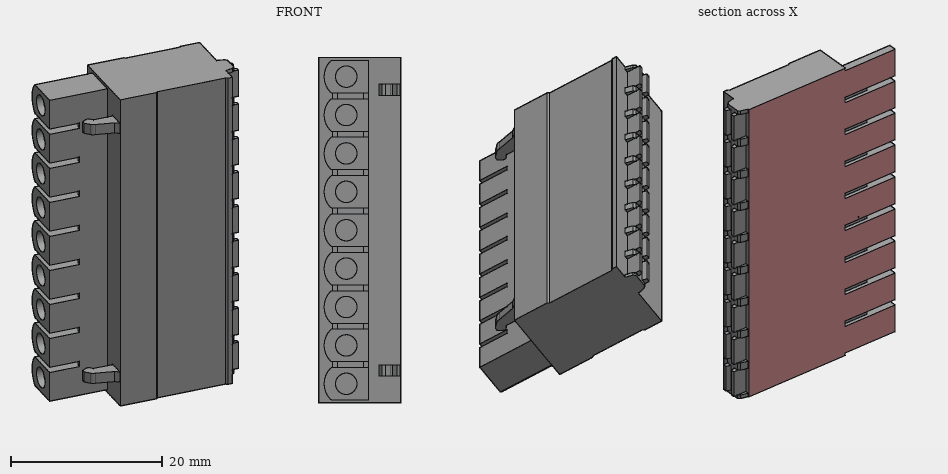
import cadquery as cq
import math


width = 10.9
total_depth = 26.5
depth = 16.2
height = 45.7
relief = 0.2
step_run = 0.27
relief_start = 5.2
left_relief_end = 13.45
right_relief_end = 15.55

positions = 9
pitch = height / positions
centers = [(i + 0.5) * pitch for i in range(positions)]

rail_center = 7.2
rail_base = 3.2
rail_shoulder = 2.65
rail_top = 2.1
rail_height = 1.35
rail_bevel = 0.3
tooth_width = 2.2
tooth_height = 2.0
tooth_length = 3.95
slot_top = 1.15
slot_floor = 0.8

plug_length = total_depth - depth - tooth_height
plug_height = 4.3
plug_right = 6.6
plug_axis_x = 3.65
plug_radius = 2.93
hole_diameter = 2.85
hole_depth = 1.0

rib_length = 4.0
rib_thickness = 0.65
rib_starts = (1.85, plug_right - rib_thickness)

latch_thickness = 1.5
latch_offset = 4.3
latch_x = 8.45
latch_length = 4.35
latch_root = 2.35
root_fillet = 0.25
barb_start = 2.85
barb_reach = 0.5
barb_rise = 0.4
barb_face = 0.4
tip_inset = 0.05
tip_width = 0.45
latch_elbow = 1.33
elbow_y = 3.1
elbow_run = 0.27
elbow_rise = 0.6
elbow_radius = 0.7
flare_run = 0.4
flare_rise = 0.6


def extrude_z(outline, z_center, thickness):
    """Extrude an XY outline symmetrically about a height."""
    return outline.extrude(thickness / 2, both=True).translate((0, 0, z_center))


def housing():
    return (
        cq.Workplane("XY")
        .lineTo(width, 0)
        .lineTo(width, relief_start)
        .lineTo(width - relief, relief_start + step_run)
        .lineTo(width - relief, right_relief_end - step_run)
        .lineTo(width, right_relief_end)
        .lineTo(width, depth)
        .lineTo(0, depth)
        .lineTo(0, left_relief_end)
        .lineTo(relief, left_relief_end - step_run)
        .lineTo(relief, relief_start + step_run)
        .lineTo(0, relief_start)
        .close()
        .extrude(height)
    )


def plug(z):
    """Plug with one side rounded about the axis of its blind hole."""
    half = plug_height / 2
    flat_start = plug_axis_x - math.sqrt(plug_radius**2 - half**2)
    body = (
        cq.Workplane("XZ")
        .moveTo(flat_start, z - half)
        .lineTo(plug_right, z - half)
        .lineTo(plug_right, z + half)
        .lineTo(flat_start, z + half)
        .threePointArc((plug_axis_x - plug_radius, z), (flat_start, z - half))
        .close()
        .extrude(plug_length)
    )
    hole = (
        cq.Workplane("XZ", origin=(plug_axis_x, -plug_length, z))
        .circle(hole_diameter / 2)
        .extrude(-hole_depth)
    )
    return body.cut(hole)


def rib(x, z):
    """Rib filling the gap above the plug centred at z."""
    return cq.Workplane("XY").box(
        rib_thickness, rib_length, pitch - plug_height, centered=False
    ).translate((x, -rib_length, z + plug_height / 2))


def rail():
    shoulder_y = depth + rail_height - rail_bevel
    top_y = depth + rail_height
    return (
        cq.Workplane("XY")
        .moveTo(rail_center - rail_base / 2, depth)
        .lineTo(rail_center + rail_base / 2, depth)
        .lineTo(rail_center + rail_shoulder / 2, shoulder_y)
        .lineTo(rail_center + rail_top / 2, top_y)
        .lineTo(rail_center - rail_top / 2, top_y)
        .lineTo(rail_center - rail_shoulder / 2, shoulder_y)
        .close()
        .extrude(height)
    )


def rail_gap(z):
    """Space cleared from the rail to make room for a tooth."""
    return cq.Workplane("XY").box(
        rail_base, rail_height, tooth_length, centered=(True, False, True)
    ).translate((rail_center, depth, z))


def tooth(z):
    tip_y = depth + tooth_height
    floor_y = depth + rail_height
    outline = (
        cq.Workplane("XY")
        .moveTo(rail_center - tooth_width / 2, depth)
        .lineTo(rail_center + tooth_width / 2, depth)
        .lineTo(rail_center + tooth_width / 2, tip_y)
        .lineTo(rail_center + slot_top / 2, tip_y)
        .lineTo(rail_center + slot_floor / 2, floor_y)
        .lineTo(rail_center - slot_floor / 2, floor_y)
        .lineTo(rail_center - slot_top / 2, tip_y)
        .lineTo(rail_center - tooth_width / 2, tip_y)
        .close()
    )
    return extrude_z(outline, z, tooth_length)


def latch(z):
    """Hooked arm with a flared root, a sloped back and a barb facing the plugs."""
    arm_left = latch_x
    barb_left = arm_left - barb_reach
    tip_y = -latch_length
    root_right = arm_left + latch_root
    elbow_x = arm_left + latch_elbow
    outline = (
        cq.Workplane("XY")
        .moveTo(arm_left - root_fillet, 0)
        .radiusArc((arm_left, -root_fillet), root_fillet)
        .lineTo(arm_left, -barb_start)
        .lineTo(barb_left, -barb_start - barb_rise)
        .lineTo(barb_left, -barb_start - barb_rise - barb_face)
        .lineTo(arm_left - tip_inset, tip_y)
        .lineTo(arm_left - tip_inset + tip_width, tip_y)
        .lineTo(elbow_x - elbow_run, -elbow_y - elbow_rise)
        .radiusArc((elbow_x, -elbow_y), -elbow_radius)
        .lineTo(root_right - flare_run, -flare_rise)
        .lineTo(root_right, 0)
        .close()
    )
    return extrude_z(outline, z, latch_thickness)


result = housing().union(rail())
for z in centers:
    result = result.cut(rail_gap(z)).union(tooth(z)).union(plug(z))
for z in centers[:-1]:
    for x in rib_starts:
        result = result.union(rib(x, z))
for z in (latch_offset, height - latch_offset):
    result = result.union(latch(z))